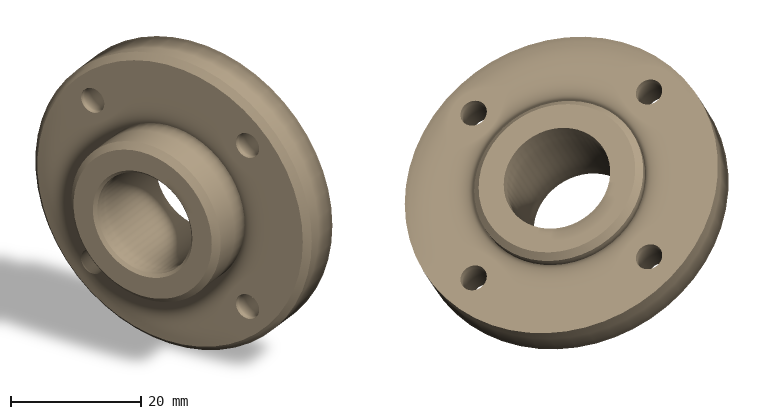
import cadquery as cq

flange_diameter = 50
flange_thickness = 7
hub_diameter = 27
hub_front_length = 8
hub_rear_length = 2.5
edge_chamfer = 1

bore_diameter = 17
bore_chamfer = 0.5

bolt_hole_diameter = 4.2
bolt_hole_spacing = 28

hub_length = hub_front_length + flange_thickness + hub_rear_length


def cylinder(diameter, start_y, length):
    """Solid cylinder along +Y, starting at start_y."""
    plane = cq.Workplane("XZ", origin=(0, start_y, 0))
    return plane.circle(diameter / 2).extrude(-length)


flange = cylinder(flange_diameter, 0, flange_thickness).faces("<Y").edges().chamfer(edge_chamfer)
hub = cylinder(hub_diameter, -hub_front_length, hub_length).edges("%CIRCLE").chamfer(edge_chamfer)
body = flange.union(hub)

bore = cylinder(bore_diameter, -hub_front_length, hub_length)

bolt_holes = (
    cq.Workplane("XZ")
    .rect(bolt_hole_spacing, bolt_hole_spacing, forConstruction=True)
    .vertices()
    .circle(bolt_hole_diameter / 2)
    .extrude(-flange_thickness)
)

result = body.cut(bore).cut(bolt_holes)

front_edges = result.faces("<Y").edges("%CIRCLE")
bore_mouth = front_edges.edges(cq.selectors.RadiusNthSelector(0))
result = bore_mouth.chamfer(bore_chamfer)